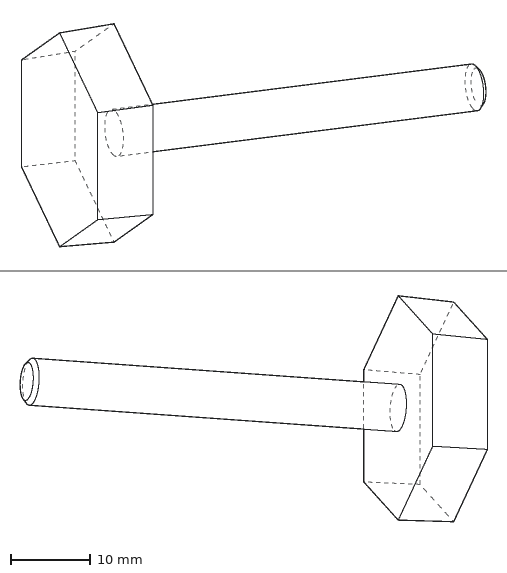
import cadquery as cq
import math

total_length = 57.5
across_flats = 25.0
head_height = 7.5
draft_angle = 2.0
shank_diameter = 6.0
tip_chamfer = 0.6

across_corners = across_flats / math.cos(math.radians(30))
shank_length = total_length - head_height


def make_head():
    """Drafted hexagonal head, seat at Y = 0, with two corners on the Z axis."""
    return (
        cq.Workplane("XZ")
        .transformed(rotate=(0, 0, 90))
        .polygon(6, across_corners)
        .extrude(head_height, taper=draft_angle)
    )


def make_shank():
    """Round shank along +Y with a chamfered tip."""
    return (
        cq.Workplane("XZ")
        .circle(shank_diameter / 2)
        .extrude(-shank_length)
        .faces(">Y")
        .chamfer(tip_chamfer)
    )


result = make_head().union(make_shank())